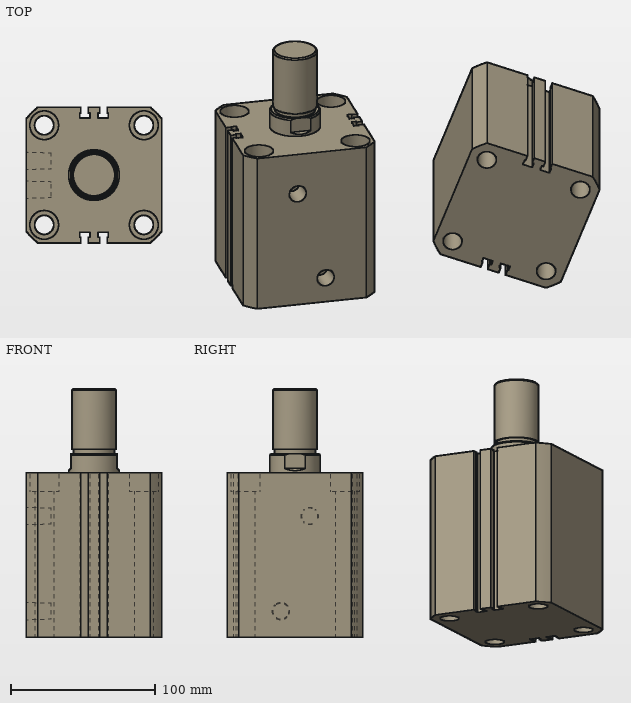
import cadquery as cq

SIDE = 94.0
HOUSING_HEIGHT = 114.0
CORNER_TURN_RADIUS = 61.0

MOUNT_SPACING = 69.0
MOUNT_HOLE_DIAMETER = 13.0
COUNTERBORE_DIAMETER = 20.0
COUNTERBORE_DEPTH = 12.9

SLOT_NECK_INNER = 4.1
SLOT_NECK_OUTER = 9.1
SLOT_POCKET_INNER = 3.0
SLOT_POCKET_OUTER = 9.8
SLOT_NECK_DEPTH = 4.1
SLOT_DEPTH = 7.4

PORT_MOUTH_DIAMETER = 12.0
PORT_FLOOR_DIAMETER = 11.0
PORT_DEPTH = 17.2
PORT_OFFSET = 10.0
UPPER_PORT_Z = 84.1
LOWER_PORT_Z = 18.2

TOTAL_HEIGHT = 172.0
COLLAR_DIAMETER = 35.1
COLLAR_HEIGHT = 13.0
GROOVE_DIAMETER = 28.5
GROOVE_HEIGHT = 3.0
THREAD_DIAMETER = 30.8
EDGE_CHAMFER = 1.0
ACROSS_FLATS = 32.0
FLAT_START = 3.0

COLLAR_TOP = HOUSING_HEIGHT + COLLAR_HEIGHT
GROOVE_TOP = COLLAR_TOP + GROOVE_HEIGHT


def make_block():
    block = cq.Workplane("XY").rect(SIDE, SIDE).extrude(HOUSING_HEIGHT)
    turned = cq.Workplane("XY").circle(CORNER_TURN_RADIUS).extrude(HOUSING_HEIGHT)
    return block.intersect(turned)


def cut_mount_holes(body):
    return (
        body.faces(">Z")
        .workplane(origin=(0, 0, HOUSING_HEIGHT))
        .rect(MOUNT_SPACING, MOUNT_SPACING, forConstruction=True)
        .vertices()
        .cboreHole(MOUNT_HOLE_DIAMETER, COUNTERBORE_DIAMETER, COUNTERBORE_DEPTH)
    )


def make_slot(x_side, y_side):
    """One undercut slot; x_side and y_side are +1 or -1."""
    mouth = SIDE / 2
    shoulder = mouth - SLOT_NECK_DEPTH
    floor = mouth - SLOT_DEPTH
    profile = [
        (SLOT_NECK_INNER, mouth),
        (SLOT_NECK_INNER, shoulder),
        (SLOT_POCKET_INNER, shoulder),
        (SLOT_POCKET_INNER, floor),
        (SLOT_POCKET_OUTER, floor),
        (SLOT_POCKET_OUTER, shoulder),
        (SLOT_NECK_OUTER, shoulder),
        (SLOT_NECK_OUTER, mouth),
    ]
    points = [(x_side * x, y_side * y) for x, y in profile]
    return cq.Workplane("XY").polyline(points).close().extrude(HOUSING_HEIGHT)


def make_port(y, z):
    """Blind port bored from the -X side, narrowing slightly towards its floor."""
    return cq.Workplane(
        cq.Solid.makeCone(
            PORT_MOUTH_DIAMETER / 2,
            PORT_FLOOR_DIAMETER / 2,
            PORT_DEPTH,
            pnt=cq.Vector(-SIDE / 2, y, z),
            dir=cq.Vector(1, 0, 0),
        )
    )


def make_housing():
    body = cut_mount_holes(make_block())
    for x_side in (-1, 1):
        for y_side in (-1, 1):
            body = body.cut(make_slot(x_side, y_side))
    body = body.cut(make_port(PORT_OFFSET, UPPER_PORT_Z))
    return body.cut(make_port(-PORT_OFFSET, LOWER_PORT_Z))


def make_flat_cutter(x_side):
    """Material outside one wrench flat, with a 45 degree run-out below it."""
    flat_x = ACROSS_FLATS / 2
    outer_x = COLLAR_DIAMETER / 2 + EDGE_CHAMFER
    flat_z = HOUSING_HEIGHT + FLAT_START
    profile = [
        (flat_x, COLLAR_TOP),
        (flat_x, flat_z),
        (outer_x, flat_z - (outer_x - flat_x)),
        (outer_x, COLLAR_TOP),
    ]
    points = [(x_side * x, z) for x, z in profile]
    return cq.Workplane("XZ").polyline(points).close().extrude(COLLAR_DIAMETER / 2, both=True)


def make_rod():
    collar_radius = COLLAR_DIAMETER / 2
    groove_radius = GROOVE_DIAMETER / 2
    thread_radius = THREAD_DIAMETER / 2
    profile = [
        (0, HOUSING_HEIGHT),
        (collar_radius, HOUSING_HEIGHT),
        (collar_radius, COLLAR_TOP - EDGE_CHAMFER),
        (collar_radius - EDGE_CHAMFER, COLLAR_TOP),
        (groove_radius, COLLAR_TOP),
        (groove_radius, GROOVE_TOP),
        (thread_radius, GROOVE_TOP),
        (thread_radius, TOTAL_HEIGHT - EDGE_CHAMFER),
        (thread_radius - EDGE_CHAMFER, TOTAL_HEIGHT),
        (0, TOTAL_HEIGHT),
    ]
    rod = cq.Workplane("XZ").polyline(profile).close().revolve(360, (0, 0, 0), (0, 1, 0))
    for x_side in (-1, 1):
        rod = rod.cut(make_flat_cutter(x_side))
    return rod


housing = make_housing()
rod = make_rod()

result = cq.Compound.makeCompound([housing.val(), rod.val()])